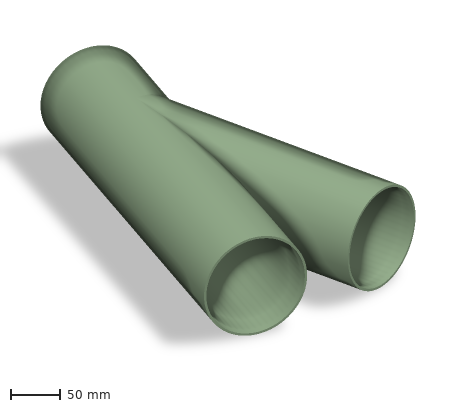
import cadquery as cq
import math

run_length = 429.0
outer_diameter = 114.0
bore_diameter = 109.0
branch_angle = 30.0
branch_start = 115.5
branch_length = 314.0

angle = math.radians(branch_angle)
run_direction = cq.Vector(1, 0, 0)
branch_direction = cq.Vector(math.cos(angle), math.sin(angle), 0)
run_start = cq.Vector(0, 0, 0)
axis_crossing = cq.Vector(branch_start, 0, 0)


def rod(diameter, length, start, direction):
    """Solid cylinder from a start point along a direction."""
    return cq.Workplane(cq.Solid.makeCylinder(diameter / 2, length, start, direction))


def wye(diameter):
    """Run and branch cylinders of one diameter, joined where their axes cross."""
    run = rod(diameter, run_length, run_start, run_direction)
    branch = rod(diameter, branch_length, axis_crossing, branch_direction)
    return run.union(branch)


result = wye(outer_diameter).cut(wye(bore_diameter))